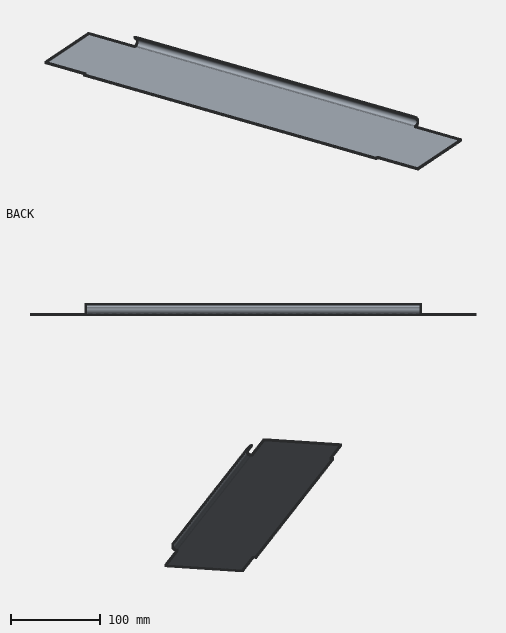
import cadquery as cq
import math

length = 495.0
depth = 97.0
height = 12.5
thickness = 1.0

front_strip_length = 388.0
front_strip_depth = 3.0

lip_length = 373.0
lip_depth = 6.0
bend_outer_radius = 5.0
lip_lean = math.radians(45)

strip_front_y = -depth / 2
plate_front_y = strip_front_y + front_strip_depth
lip_rear_y = depth / 2
plate_rear_y = lip_rear_y - lip_depth
bend_inner_radius = bend_outer_radius - thickness
bend_center_y = lip_rear_y - bend_outer_radius
bend_center_z = bend_outer_radius


def flat_sheet(sheet_length, sheet_front_y, sheet_rear_y):
    """Flat rectangle of sheet lying on Z = 0, centred along X."""
    sheet = cq.Workplane("XY").box(
        sheet_length,
        sheet_rear_y - sheet_front_y,
        thickness,
        centered=(True, False, False),
    )
    return sheet.translate((0, sheet_front_y, 0))


def bend_point(radius, angle):
    """Point (y, z) on the bend, with the angle measured up from the +Y direction."""
    return (
        bend_center_y + radius * math.cos(angle),
        bend_center_z + radius * math.sin(angle),
    )


def make_lip():
    """Bend rising from the rear edge, ending in a straight lip that leans over the plate."""
    bend_start_angle = -math.pi / 2
    bend_middle_angle = (bend_start_angle + lip_lean) / 2
    outer_end_y, outer_end_z = bend_point(bend_outer_radius, lip_lean)
    inner_end_y, inner_end_z = bend_point(bend_inner_radius, lip_lean)
    lip_rise = height - outer_end_z
    lip_return = lip_rise * math.tan(lip_lean)
    profile = (
        cq.Workplane("YZ")
        .moveTo(plate_rear_y, 0)
        .lineTo(bend_center_y, 0)
        .threePointArc(bend_point(bend_outer_radius, bend_middle_angle), (outer_end_y, outer_end_z))
        .lineTo(outer_end_y - lip_return, height)
        .lineTo(inner_end_y - lip_return, inner_end_z + lip_rise)
        .lineTo(inner_end_y, inner_end_z)
        .threePointArc(bend_point(bend_inner_radius, bend_middle_angle), (bend_center_y, thickness))
        .lineTo(plate_rear_y, thickness)
        .close()
    )
    return profile.extrude(lip_length / 2, both=True)


plate = flat_sheet(length, plate_front_y, plate_rear_y)
front_strip = flat_sheet(front_strip_length, strip_front_y, plate_front_y)
result = plate.union(front_strip).union(make_lip()).clean()